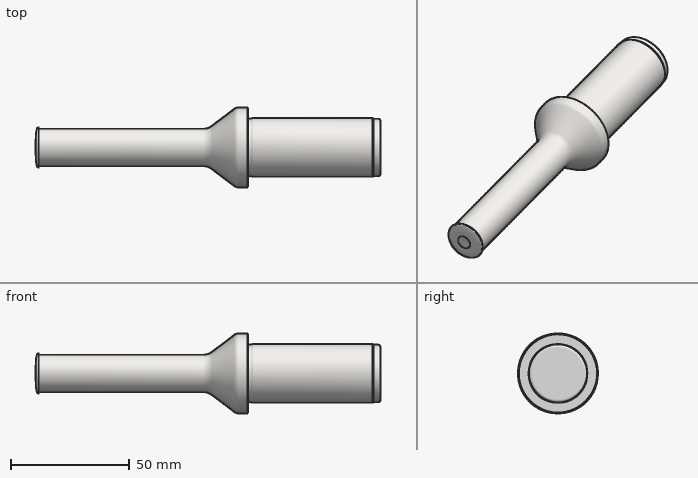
import cadquery as cq
import math

TOTAL_LENGTH = 146.0

HEAD_RADIUS = 17.0 / 2
HEAD_LENGTH = 1.4

OUTER_CREST_RADIUS = 10.4 / 2
VALLEY_RADIUS = 8.6 / 2
INNER_CREST_RADIUS = 6.0 / 2
FACE_EDGE_RADIUS = 13.6 / 2
CORNER_START_RADIUS = 15.2 / 2
EDGE_BEVEL_LENGTH = 0.2
FACE_SLOPE = math.tan(math.radians(9))

NECK_RADIUS = 16.0 / 2

FLANGE_RADIUS = 34.0 / 2
FLANGE_CHAMFER = 0.5
FLANGE_RIM_FRONT_X = 86.0
CONE_HALF_ANGLE = math.radians(37)
CONE_ROOT_BLEND_RADIUS = 5.0
CONE_RIM_BLEND_RADIUS = 3.0

SHANK_LENGTH = 56.0
SHANK_RADIUS = 25.0 / 2
RELIEF_RADIUS = 24.5 / 2
RELIEF_CORNER_RADIUS = 0.5
FRONT_RELIEF_LENGTH = 1.1
FRONT_BEVEL_LENGTH = 0.9
REAR_RELIEF_LENGTH = 3.0
REAR_BEVEL_LENGTH = 0.6
SHANK_END_ROUND = 1.2

FLANGE_BACK_X = TOTAL_LENGTH - SHANK_LENGTH


def turn(profile):
    """Revolve a closed half profile about the X axis."""
    return profile.close().revolve(360, (0, 0, 0), (1, 0, 0))


def make_head():
    """Disc with a rounded corner and a shallow ringed front face."""
    hollow_x = INNER_CREST_RADIUS * FACE_SLOPE
    valley_x = (VALLEY_RADIUS - INNER_CREST_RADIUS) * FACE_SLOPE
    outer_crest_x = valley_x - (OUTER_CREST_RADIUS - VALLEY_RADIUS) * FACE_SLOPE
    face_edge_x = outer_crest_x + (FACE_EDGE_RADIUS - OUTER_CREST_RADIUS) * FACE_SLOPE
    corner_start_x = face_edge_x + EDGE_BEVEL_LENGTH
    corner_length = HEAD_LENGTH - corner_start_x
    corner_height = HEAD_RADIUS - CORNER_START_RADIUS
    corner_radius = (corner_length**2 + corner_height**2) / (2 * corner_height)
    return turn(
        cq.Workplane("XY")
        .moveTo(hollow_x, 0)
        .lineTo(0, INNER_CREST_RADIUS)
        .lineTo(valley_x, VALLEY_RADIUS)
        .lineTo(outer_crest_x, OUTER_CREST_RADIUS)
        .lineTo(face_edge_x, FACE_EDGE_RADIUS)
        .lineTo(corner_start_x, CORNER_START_RADIUS)
        .radiusArc((HEAD_LENGTH, HEAD_RADIUS), corner_radius)
        .lineTo(HEAD_LENGTH, 0)
    )


def arc_offset(radius, angle):
    """Axial and radial travel along an arc that starts parallel to the axis."""
    return radius * math.sin(angle), radius * (1 - math.cos(angle))


def make_body():
    """Neck, flange and shank in one piece."""
    root_length, root_rise = arc_offset(CONE_ROOT_BLEND_RADIUS, CONE_HALF_ANGLE)
    rim_length, rim_rise = arc_offset(CONE_RIM_BLEND_RADIUS, CONE_HALF_ANGLE)
    cone_rise = FLANGE_RADIUS - NECK_RADIUS - root_rise - rim_rise
    cone_length = cone_rise / math.tan(CONE_HALF_ANGLE)
    cone_end_x = FLANGE_RIM_FRONT_X - rim_length
    cone_start_x = cone_end_x - cone_length

    bevel_start_x = FLANGE_BACK_X + FRONT_RELIEF_LENGTH
    rear_relief_x = TOTAL_LENGTH - REAR_RELIEF_LENGTH

    return turn(
        cq.Workplane("XY")
        .moveTo(HEAD_LENGTH, 0)
        .lineTo(HEAD_LENGTH, NECK_RADIUS)
        .lineTo(cone_start_x - root_length, NECK_RADIUS)
        .radiusArc((cone_start_x, NECK_RADIUS + root_rise), -CONE_ROOT_BLEND_RADIUS)
        .lineTo(cone_end_x, FLANGE_RADIUS - rim_rise)
        .radiusArc((FLANGE_RIM_FRONT_X, FLANGE_RADIUS), CONE_RIM_BLEND_RADIUS)
        .lineTo(FLANGE_BACK_X - FLANGE_CHAMFER, FLANGE_RADIUS)
        .lineTo(FLANGE_BACK_X, FLANGE_RADIUS - FLANGE_CHAMFER)
        .lineTo(FLANGE_BACK_X, RELIEF_RADIUS + RELIEF_CORNER_RADIUS)
        .radiusArc((FLANGE_BACK_X + RELIEF_CORNER_RADIUS, RELIEF_RADIUS), -RELIEF_CORNER_RADIUS)
        .lineTo(bevel_start_x, RELIEF_RADIUS)
        .lineTo(bevel_start_x + FRONT_BEVEL_LENGTH, SHANK_RADIUS)
        .lineTo(rear_relief_x - REAR_BEVEL_LENGTH, SHANK_RADIUS)
        .lineTo(rear_relief_x, RELIEF_RADIUS)
        .lineTo(TOTAL_LENGTH - SHANK_END_ROUND, RELIEF_RADIUS)
        .radiusArc((TOTAL_LENGTH, RELIEF_RADIUS - SHANK_END_ROUND), SHANK_END_ROUND)
        .lineTo(TOTAL_LENGTH, 0)
    )


head = make_head()
body = make_body()
result = cq.Compound.makeCompound([head.val(), body.val()])